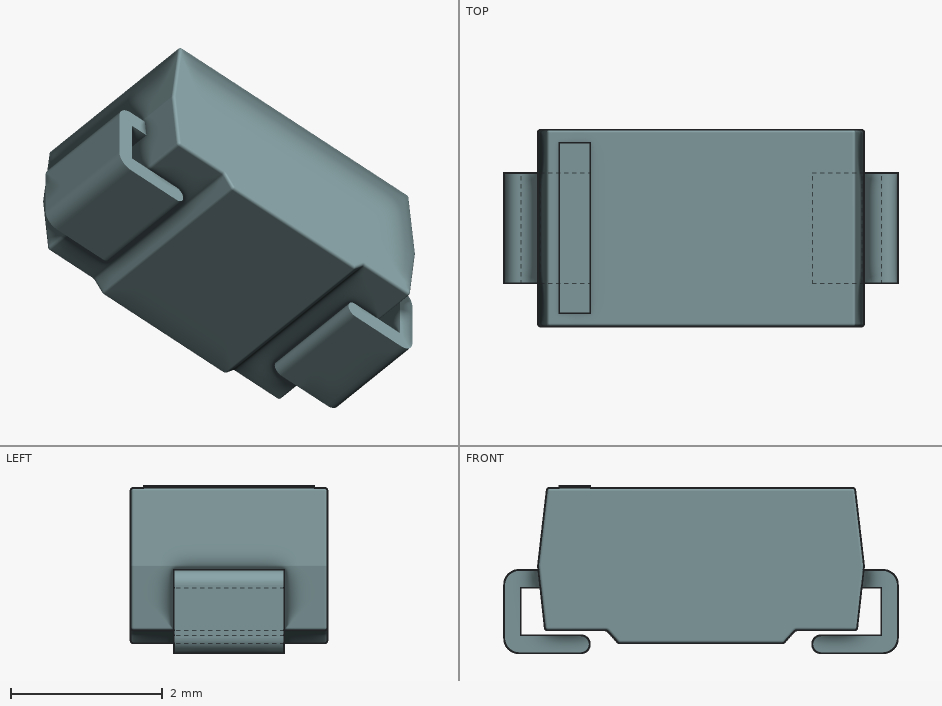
import cadquery as cq

overall_length = 5.2
overall_height = 2.21
half_length = overall_length / 2

housing_depth = 2.6
housing_top_z = 2.185
waist_z = 1.155
shoulder_z = 0.3
housing_bottom_z = 0.13
waist_half_length = 2.155
top_half_length = 2.035
shoulder_half_length = 2.06
step_outer_half_length = 1.245
step_inner_half_length = 1.085
edge_radius = 0.04

lead_width = 1.455
lead_top_z = 1.1
lead_arm_thickness = 0.24
lead_wall_thickness = 0.225
lead_bend_radius = 0.205
lead_tip_half_length = 1.465
lead_tip_radius = lead_arm_thickness / 2

mark_length = 0.41
mark_width = 2.25
mark_left_x = -1.87
mark_thickness = overall_height - housing_top_z


def make_housing():
    """Waisted block with a foot under its middle and all its edges rounded."""
    right_side = [
        (step_inner_half_length, housing_bottom_z),
        (step_outer_half_length, shoulder_z),
        (shoulder_half_length, shoulder_z),
        (waist_half_length, waist_z),
        (top_half_length, housing_top_z),
    ]
    left_side = [(-x, z) for x, z in reversed(right_side)]
    block = (
        cq.Workplane("XZ")
        .polyline(right_side + left_side)
        .close()
        .extrude(housing_depth / 2, both=True)
    )
    return block.edges().fillet(edge_radius)


def housing_end_x(z):
    """Half length of the housing at height z, between shoulder and waist."""
    slope = (waist_half_length - shoulder_half_length) / (waist_z - shoulder_z)
    return shoulder_half_length + slope * (z - shoulder_z)


def make_lead(side):
    """C-shaped lead that meets the sloping end of the housing; side is -1 or 1."""
    arm_underside_z = lead_top_z - lead_arm_thickness
    inner_wall_x = half_length - lead_wall_thickness
    outline = [
        (housing_end_x(lead_top_z), lead_top_z),
        (half_length, lead_top_z),
        (half_length, 0),
        (lead_tip_half_length + lead_tip_radius, 0),
    ]
    tip_middle = (side * lead_tip_half_length, lead_tip_radius)
    tip_end = (side * (lead_tip_half_length + lead_tip_radius), lead_arm_thickness)
    inner_outline = [
        (inner_wall_x, lead_arm_thickness),
        (inner_wall_x, arm_underside_z),
        (housing_end_x(arm_underside_z), arm_underside_z),
    ]
    lead = (
        cq.Workplane("XZ")
        .polyline([(side * x, z) for x, z in outline])
        .threePointArc(tip_middle, tip_end)
        .polyline([(side * x, z) for x, z in inner_outline], includeCurrent=True)
        .close()
        .extrude(lead_width / 2, both=True)
    )
    outer_wall = ">X" if side > 0 else "<X"
    return lead.faces(outer_wall).edges("|Y").fillet(lead_bend_radius)


def make_polarity_mark():
    """Thin bar across the top of the housing, near its -X end."""
    return (
        cq.Workplane("XY", origin=(mark_left_x + mark_length / 2, 0, housing_top_z))
        .rect(mark_length, mark_width)
        .extrude(mark_thickness)
    )


housing = make_housing()
leads = [make_lead(side) for side in (-1, 1)]
polarity_mark = make_polarity_mark()

result = cq.Compound.makeCompound([
    housing.val(),
    *[lead.val() for lead in leads],
    polarity_mark.val(),
])